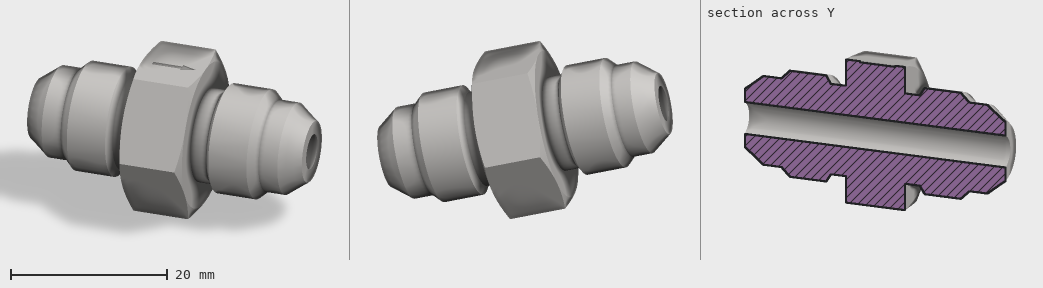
import cadquery as cq
import math

overall_length = 37.03
bore_diameter = 4.55

hex_across_flats = 19.05
hex_width = 8.45
hex_chamfer_angle = 20

neck_diameter = 12.2
neck_end = 6.3
collar_diameter = 14.25
collar_inner_chamfer = 0.65
collar_end = 13.33
collar_outer_chamfer = 1.22
nose_diameter = 11.95
tip_diameter = 8.0
cone_half_angle = 37

arrow_tail_x = -2.75
arrow_head_x = 1.15
arrow_tip_x = 3.05
arrow_centre_y = -0.6
arrow_shaft_width = 0.65
arrow_head_width = 1.45
arrow_depth = 0.15

hex_half_width = hex_width / 2
hex_corner_diameter = hex_across_flats / math.cos(math.radians(30))


def revolve_about_x(points):
    return cq.Workplane("XY").polyline(points).close().revolve(360, (0, 0, 0), (1, 0, 0))


def make_turned_end():
    """One turned end on the +X side, solid from the middle of the part to the tip."""
    tip_x = overall_length / 2
    neck_radius = neck_diameter / 2
    collar_radius = collar_diameter / 2
    nose_radius = nose_diameter / 2
    tip_radius = tip_diameter / 2
    cone_length = (nose_radius - tip_radius) / math.tan(math.radians(cone_half_angle))
    return revolve_about_x([
        (0, 0),
        (0, neck_radius),
        (neck_end, neck_radius),
        (neck_end + collar_inner_chamfer, collar_radius),
        (collar_end - collar_outer_chamfer, collar_radius),
        (collar_end, nose_radius),
        (tip_x - cone_length, nose_radius),
        (tip_x, tip_radius),
        (tip_x, 0),
    ])


def make_hexagon():
    """Hexagonal prism whose corners are turned down to the flats at both end faces."""
    prism = (
        cq.Workplane("YZ")
        .polygon(6, hex_corner_diameter)
        .extrude(hex_half_width, both=True)
    )
    face_radius = hex_across_flats / 2
    envelope_radius = face_radius + hex_half_width / math.tan(math.radians(hex_chamfer_angle))
    envelope = revolve_about_x([
        (-hex_half_width, 0),
        (-hex_half_width, face_radius),
        (0, envelope_radius),
        (hex_half_width, face_radius),
        (hex_half_width, 0),
    ])
    return prism.intersect(envelope)


def make_flow_arrow():
    """Arrow-shaped cutter reaching from the upper flat down to the engraving floor."""
    shaft_half = arrow_shaft_width / 2
    head_half = arrow_head_width / 2
    return (
        cq.Workplane("XY", origin=(0, arrow_centre_y, hex_across_flats / 2))
        .polyline([
            (arrow_tail_x, -shaft_half),
            (arrow_head_x, -shaft_half),
            (arrow_head_x, -head_half),
            (arrow_tip_x, 0),
            (arrow_head_x, head_half),
            (arrow_head_x, shaft_half),
            (arrow_tail_x, shaft_half),
        ])
        .close()
        .extrude(-arrow_depth)
    )


turned_end = make_turned_end()
bore = cq.Workplane("YZ").circle(bore_diameter / 2).extrude(overall_length, both=True)
body = make_hexagon().union(turned_end).union(turned_end.mirror("YZ"))
result = body.cut(bore).cut(make_flow_arrow())